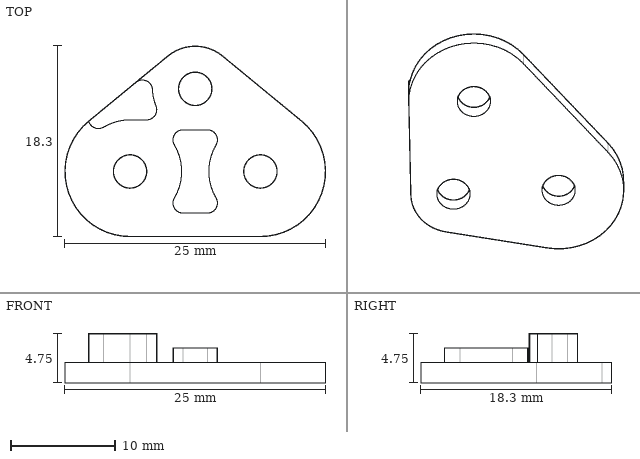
import cadquery as cq
import math

length = 25.0
depth = 18.27
base_radius = 6.25
apex_radius = 4.1
plate_height = 2.0
hole_diameter = 3.17

edge_pad_top = 4.75
waisted_pad_top = 3.37
waisted_pad_length = 8.0
base_clearance = 4.95
apex_clearance = apex_radius
pad_corner = 0.97

base_x = length / 2 - base_radius
apex_y = depth - base_radius - apex_radius
left_hole = (-base_x, 0)
right_hole = (base_x, 0)
apex_hole = (0, apex_y)

hole_distance = math.hypot(base_x, apex_y)
edge_angle = math.atan2(apex_y, base_x) - math.asin((base_radius - apex_radius) / hole_distance)
normal_angle = edge_angle + math.pi / 2


def polar(center, radius, angle):
    return (center[0] + radius * math.cos(angle), center[1] + radius * math.sin(angle))


def toward(start, end, distance):
    """Point at a distance from start along the line to end."""
    return polar(start, distance, math.atan2(end[1] - start[1], end[0] - start[0]))


def mirrored(point):
    return (-point[0], point[1])


def arc_to(sketch, center, radius, end, start):
    """Add the shorter arc about center from start to end."""
    middle = ((start[0] + end[0]) / 2, (start[1] + end[1]) / 2)
    return sketch.threePointArc(toward(center, middle, radius), end)


def make_plate():
    left_tangent = polar(left_hole, base_radius, normal_angle)
    apex_tangent = polar(apex_hole, apex_radius, normal_angle)
    left_middle = polar(left_hole, base_radius, (normal_angle + 3 * math.pi / 2) / 2)
    return (
        cq.Workplane("XY")
        .moveTo(-base_x, -base_radius)
        .lineTo(base_x, -base_radius)
        .threePointArc(mirrored(left_middle), mirrored(left_tangent))
        .lineTo(*mirrored(apex_tangent))
        .threePointArc((0, apex_y + apex_radius), apex_tangent)
        .lineTo(*left_tangent)
        .threePointArc(left_middle, (-base_x, -base_radius))
        .close()
        .extrude(plate_height)
    )


def make_waisted_pad():
    """Bar between the base holes, hollowed at both sides by the hole clearances."""
    pad_height = waisted_pad_top - plate_height
    plane = cq.Workplane("XY").workplane(offset=plate_height)
    bar = plane.rect(2 * base_x, waisted_pad_length).extrude(pad_height)
    clearances = plane.pushPoints([left_hole, right_hole]).circle(base_clearance).extrude(pad_height)
    return bar.cut(clearances).edges("|Z").fillet(pad_corner)


def make_edge_pad():
    """Pad along the left slanted edge, bounded by the clearances of two holes."""
    base_reach = base_clearance + pad_corner
    apex_reach = apex_clearance + pad_corner

    edge_start = polar(left_hole, base_radius, normal_angle)
    cos_turn = (base_radius**2 + base_reach**2 - pad_corner**2) / (2 * base_radius * base_reach)
    end_center = polar(left_hole, base_reach, normal_angle - math.acos(cos_turn))
    end_blend = toward(left_hole, end_center, base_clearance)

    side_start = (-base_x, base_clearance)
    inner_center = (-math.sqrt(apex_reach**2 - (apex_y - base_reach) ** 2), base_reach)
    side_end = (inner_center[0], base_clearance)
    inner_blend = toward(apex_hole, inner_center, apex_clearance)

    upper_turn = math.acos((apex_radius - pad_corner) / apex_reach)
    upper_center = polar(apex_hole, apex_reach, normal_angle + upper_turn)
    upper_blend = toward(apex_hole, upper_center, apex_clearance)
    edge_end = polar(upper_center, pad_corner, normal_angle)

    sketch = cq.Workplane("XY").workplane(offset=plate_height).moveTo(*edge_start)
    sketch = arc_to(sketch, end_center, pad_corner, end_blend, edge_start)
    sketch = arc_to(sketch, left_hole, base_clearance, side_start, end_blend)
    sketch = sketch.lineTo(*side_end)
    sketch = arc_to(sketch, inner_center, pad_corner, inner_blend, side_end)
    sketch = arc_to(sketch, apex_hole, apex_clearance, upper_blend, inner_blend)
    sketch = arc_to(sketch, upper_center, pad_corner, edge_end, upper_blend)
    return sketch.close().extrude(edge_pad_top - plate_height)


holes = (
    cq.Workplane("XY")
    .pushPoints([left_hole, right_hole, apex_hole])
    .circle(hole_diameter / 2)
    .extrude(plate_height)
)

result = make_plate().cut(holes).union(make_waisted_pad()).union(make_edge_pad())